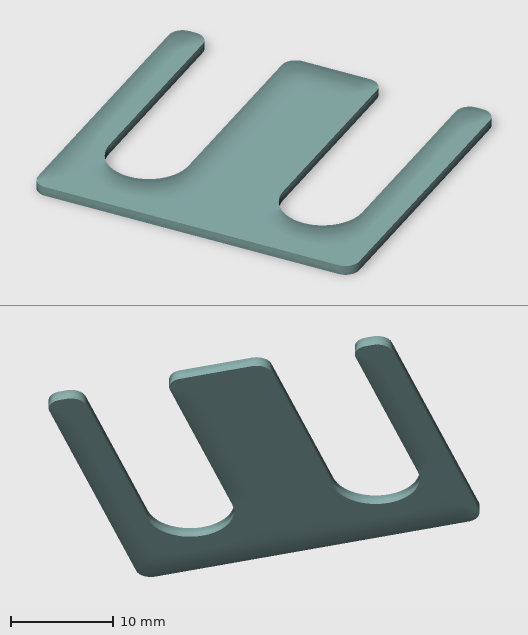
import cadquery as cq

width = 35.05
depth = 31.75
thickness = 1.0
corner_radius = 1.5

slot_width = 8.62
slot_spacing = 19.0
slot_depth = 26.4


def slot_cutter(center_x):
    """Slot from the back edge to a full-round inner end."""
    end_radius = slot_width / 2
    back = depth / 2
    round_center_y = back - slot_depth + end_radius
    left = center_x - end_radius
    right = center_x + end_radius
    return (
        cq.Workplane("XY")
        .moveTo(left, back)
        .lineTo(left, round_center_y)
        .threePointArc((center_x, round_center_y - end_radius), (right, round_center_y))
        .lineTo(right, back)
        .close()
        .extrude(thickness)
    )


plate = cq.Workplane("XY").rect(width, depth).extrude(thickness)
for side in (-1, 1):
    plate = plate.cut(slot_cutter(side * slot_spacing / 2))

back_corners = plate.faces(">Y").edges("|Z")
front_corners = plate.faces("<Y").edges("|Z")
result = plate.newObject(back_corners.vals() + front_corners.vals()).fillet(corner_radius)